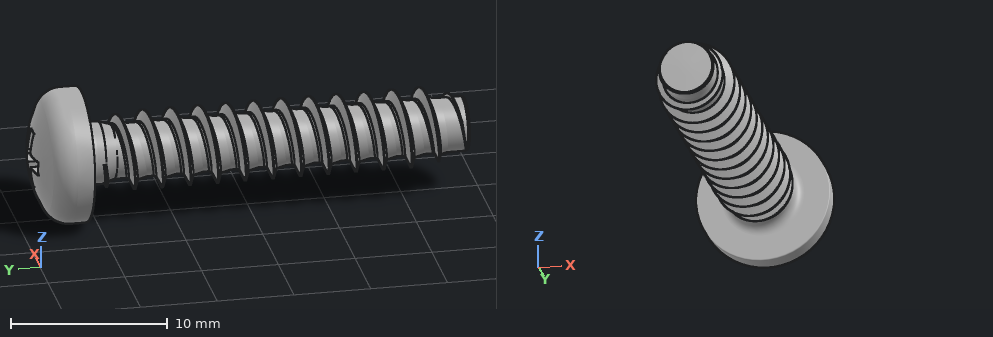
import cadquery as cq
import math


head_diameter = 8.8
head_height = 3.47
crown_radius = 7.25
shoulder_radius = 1.65
bearing_edge_radius = 0.09

wing_width = 0.88
recess_span_top = 4.1
recess_span_bottom = 1.42
recess_depth = 2.0

shank_length = 25.0
neck_radius = 2.02
neck_fillet = 0.68
neck_length = 1.2
neck_cone_length = 0.77
core_radius = 1.75
tip_radius = 1.7
tip_chamfer = 0.15
tip_cone_height = 0.05

twelve_turn_length = 21.61
turns = 13.15
run_in_turns = 1.25
run_out_turns = 1.4
points_per_turn = 24
thread_start = -1.1
crest_radius = 2.53
crest_flat = 0.05
head_flank_radius = 1.82
head_flank_offset = 0.35
head_foot_offset = 0.6
tip_flank_radius = 1.93
tip_flank_offset = 0.25
tip_foot_offset = 1.05
root_overlap = 0.03
start_scale = 0.57
end_scale = 0.02

head_radius = head_diameter / 2
pitch = twelve_turn_length / 12
foot_radius = core_radius - root_overlap
tip_face_rim = -(shank_length - tip_cone_height)


def revolved(profile):
    """Turn a closed (radius, Y) outline about the Y axis."""
    return profile.revolve(360, (0, 0, 0), (0, 1, 0))


def head_and_shank():
    """Domed head, filleted neck and plain core as one turned body."""
    shoulder_x = head_radius - shoulder_radius
    crown_y = head_height - crown_radius
    tangent = math.asin(shoulder_x / (crown_radius - shoulder_radius))
    shoulder_y = crown_y + (crown_radius - shoulder_radius) * math.cos(tangent)

    def crown_point(angle):
        return crown_radius * math.sin(angle), crown_y + crown_radius * math.cos(angle)

    def shoulder_point(angle):
        return shoulder_x + shoulder_radius * math.sin(angle), shoulder_y + shoulder_radius * math.cos(angle)

    def arc_middle(centre_x, centre_y, radius, sign_x, sign_y):
        leg = radius * math.sqrt(0.5)
        return centre_x + sign_x * leg, centre_y + sign_y * leg

    edge_x = head_radius - bearing_edge_radius
    fillet_x = neck_radius + neck_fillet
    profile = (
        cq.Workplane("XY")
        .moveTo(0, head_height)
        .threePointArc(crown_point(tangent / 2), crown_point(tangent))
        .threePointArc(shoulder_point((tangent + math.pi / 2) / 2), (head_radius, shoulder_y))
        .lineTo(head_radius, bearing_edge_radius)
        .threePointArc(arc_middle(edge_x, bearing_edge_radius, bearing_edge_radius, 1, -1), (edge_x, 0))
        .lineTo(fillet_x, 0)
        .threePointArc(arc_middle(fillet_x, -neck_fillet, neck_fillet, -1, 1), (neck_radius, -neck_fillet))
        .lineTo(neck_radius, -neck_length)
        .lineTo(core_radius, -neck_length - neck_cone_length)
        .lineTo(core_radius, tip_face_rim + tip_chamfer)
        .lineTo(tip_radius, tip_face_rim)
        .lineTo(0, -shank_length)
        .close()
    )
    return revolved(profile)


def thread_scale(turn):
    """Size of the ridge profile after a number of turns: it grows, stays full, then fades out."""
    run_in = start_scale + (1 - start_scale) * turn / run_in_turns
    run_out = end_scale + (1 - end_scale) * (turns - turn) / run_out_turns
    return min(run_in, 1, run_out)


def thread_point(radius, offset, turn):
    """Point of a profile corner on the right-handed helix, which starts at -X and runs towards the tip."""
    scale = thread_scale(turn)
    corner_radius = foot_radius + (radius - foot_radius) * scale
    angle = math.pi + 2 * math.pi * turn
    y = thread_start - pitch * turn + offset * scale
    return cq.Vector(corner_radius * math.cos(angle), y, corner_radius * math.sin(angle))


def ridge_between(first_turn, last_turn):
    """Solid stretch of the ridge between two places along the helix."""
    corners = [
        (foot_radius, head_foot_offset),
        (head_flank_radius, head_flank_offset),
        (crest_radius, crest_flat / 2),
        (crest_radius, -crest_flat / 2),
        (tip_flank_radius, -tip_flank_offset),
        (foot_radius, -tip_foot_offset),
    ]
    steps = math.ceil((last_turn - first_turn) * points_per_turn)
    places = [first_turn + (last_turn - first_turn) * step / steps for step in range(steps + 1)]
    curves = [
        cq.Edge.makeSpline([thread_point(radius, offset, turn) for turn in places])
        for radius, offset in corners
    ]
    sides = [
        cq.Face.makeRuledSurface(curve, curves[index - 1])
        for index, curve in enumerate(curves)
    ]
    caps = []
    for turn in (first_turn, last_turn):
        outline = [thread_point(radius, offset, turn) for radius, offset in corners]
        caps.append(cq.Face.makeFromWires(cq.Wire.makePolygon(outline, close=True)))
    return cq.Workplane(cq.Solid.makeSolid(cq.Shell.makeShell(sides + caps)))


def thread_sections():
    """Run-in, full-height and run-out stretches of the ridge, in order from the head."""
    run_out_start = turns - run_out_turns
    sections = [(0, run_in_turns), (run_in_turns, run_out_start), (run_out_start, turns)]
    return [ridge_between(first, last) for first, last in sections]


def cross_recess():
    """Two crossing slots whose ends taper towards the bottom of the recess."""
    wing = (
        cq.Workplane("XY")
        .polyline([
            (-recess_span_top / 2, head_height),
            (recess_span_top / 2, head_height),
            (recess_span_bottom / 2, head_height - recess_depth),
            (-recess_span_bottom / 2, head_height - recess_depth),
        ])
        .close()
        .extrude(wing_width / 2, both=True)
    )
    return wing.union(wing.rotate((0, 0, 0), (0, 1, 0), 90))


result = head_and_shank().cut(cross_recess())
for section in thread_sections():
    result = result.union(section)